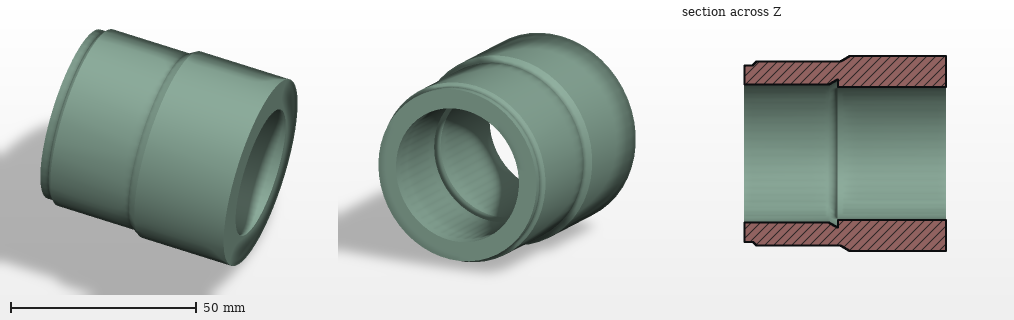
import cadquery as cq

length = 54.5
nose_diameter = 47.85
body_diameter = 50.0
head_diameter = 52.8

nose_end = 2.25
body_start = 3.3
body_end = 26.05
head_start = 28.45

entry_bore_diameter = 37.2
undercut_diameter = 40.0
inner_bore_diameter = 35.75
undercut_start = 22.85
shoulder = 25.3

half_section = [
    (0, nose_diameter / 2),
    (nose_end, nose_diameter / 2),
    (body_start, body_diameter / 2),
    (body_end, body_diameter / 2),
    (head_start, head_diameter / 2),
    (length, head_diameter / 2),
    (length, inner_bore_diameter / 2),
    (shoulder, inner_bore_diameter / 2),
    (shoulder, undercut_diameter / 2),
    (undercut_start, entry_bore_diameter / 2),
    (0, entry_bore_diameter / 2),
]

result = cq.Workplane("XY").polyline(half_section).close().revolve(360, (0, 0, 0), (1, 0, 0))